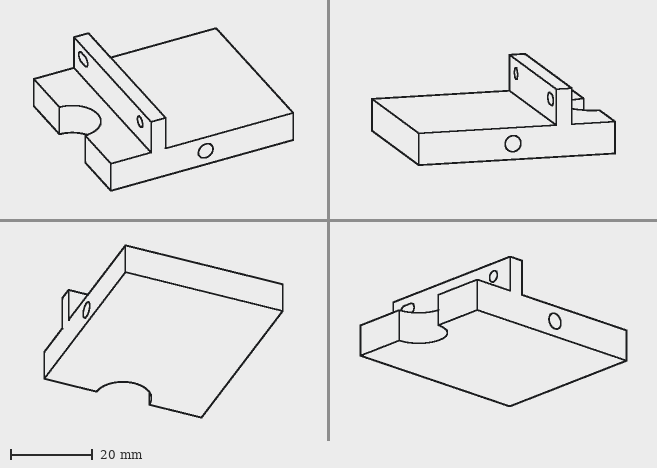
import cadquery as cq

width = 42
depth = 50
base_height = 8

wall_front = 11
wall_thickness = 4
wall_height = 9

notch_diameter = 14

cross_hole_diameter = 4
cross_hole_y = 26

mount_diameter = 2.8
mount_z = base_height + 5.5
hole_x = width - 6
slot_x = 5.1
slot_length = 4.8


def make_base():
    base = cq.Workplane("XY").box(width, depth, base_height, centered=False)
    notch = (
        cq.Workplane("XY")
        .center(width / 2, 0)
        .circle(notch_diameter / 2)
        .extrude(base_height)
    )
    cross_hole = (
        cq.Workplane("YZ")
        .center(cross_hole_y, base_height / 2)
        .circle(cross_hole_diameter / 2)
        .extrude(width)
    )
    return base.cut(notch).cut(cross_hole)


def make_wall():
    wall = (
        cq.Workplane("XY", origin=(0, wall_front, base_height))
        .box(width, wall_thickness, wall_height, centered=False)
    )
    wall_plane = cq.Workplane("XZ", origin=(0, wall_front, mount_z))
    hole = wall_plane.center(hole_x, 0).circle(mount_diameter / 2).extrude(-wall_thickness)
    slot = wall_plane.center(slot_x, 0).slot2D(slot_length, mount_diameter).extrude(-wall_thickness)
    return wall.cut(hole).cut(slot)


result = make_base().union(make_wall())